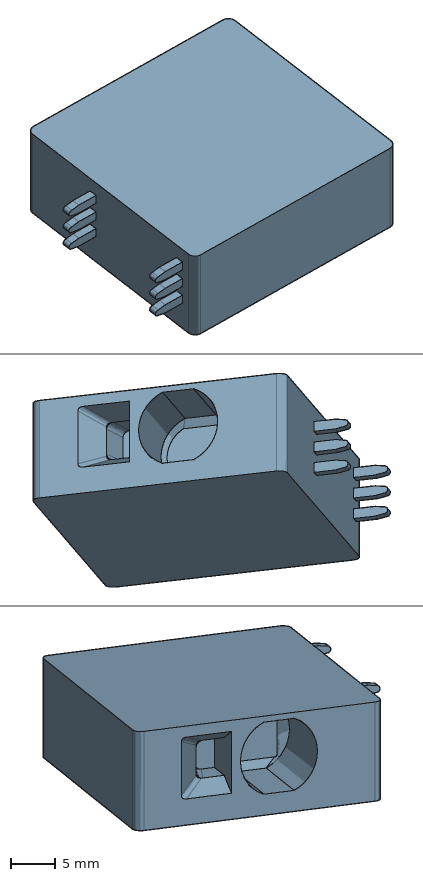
import cadquery as cq
import math

BLOCK_X = 29.0
OVERALL_Y = 34.03
BLOCK_Y = 30.0
BLOCK_Z = 11.8
CORNER_RADIUS = 1.0
LEFT_FACE = -BLOCK_X / 2
FRONT_FACE = -BLOCK_Y / 2

OPENING_Z = 6.8

PIN_LENGTH = OVERALL_Y - BLOCK_Y
PIN_WIDTH = 1.02
PIN_HEIGHT = 1.2
PIN_STRAIGHT = 2.55
PIN_TAPER_END = 3.6
PIN_TIP_HEIGHT = 0.8
PIN_ROOT = 0.35
PIN_COLUMN_PITCH = 15.0
PIN_ROW_PITCH = 2.5
PIN_MIDDLE_Z = 6.87
PIN_EDGE_DISTANCE = 2.52

SOCKET_Y = FRONT_FACE + 12.63
SOCKET_RADIUS = 4.65
SOCKET_HALF_HEIGHT = 4.3
RIM_SPLIT_ANGLE = 43.0
BORE_DEPTH = 8.5
STEP_DEPTH = 0.5
FLOOR_ARC_RADIUS = 3.75
FLOOR_ARC_OFFSET = 0.37
FLOOR_HALF_HEIGHT = 3.25
FLOOR_SIDE_OFFSET = 3.35
FLOOR_CORNER_RADIUS = 0.27

WINDOW_Y = FRONT_FACE + 18.38
WINDOW_WIDTH = 6.1
WINDOW_HEIGHT = 7.35
FUNNEL_DEPTH = 2.25
WELL_WIDTH = 3.4
WELL_HEIGHT = 4.5
WELL_FLOOR_WIDTH = 2.38
WELL_DEPTH = 3.0
FUNNEL_FILLET = 0.68
WELL_FILLET = 0.75


def make_block():
    block = cq.Workplane("XY").box(BLOCK_X, BLOCK_Y, BLOCK_Z, centered=(True, True, False))
    return block.edges("|Z").fillet(CORNER_RADIUS)


def make_pin(x, z):
    """Flat pin pointing to -Y, tapering in height to a rounded tip."""
    half = PIN_HEIGHT / 2
    half_tip = PIN_TIP_HEIGHT / 2
    profile = (
        cq.Workplane("YZ", origin=(x - PIN_WIDTH / 2, FRONT_FACE, z))
        .moveTo(PIN_ROOT, half)
        .lineTo(-PIN_STRAIGHT, half)
        .lineTo(-PIN_TAPER_END, half_tip)
        .threePointArc((-PIN_LENGTH, 0), (-PIN_TAPER_END, -half_tip))
        .lineTo(-PIN_STRAIGHT, -half)
        .lineTo(PIN_ROOT, -half)
        .close()
    )
    return profile.extrude(PIN_WIDTH)


def rim_point(angle):
    """Point of the socket's rim circle, at an angle in degrees from -Y towards +Z."""
    turn = math.radians(angle)
    return (-SOCKET_RADIUS * math.cos(turn), SOCKET_RADIUS * math.sin(turn))


def socket_sketch(depth):
    """Sketch plane at a depth below the left face, with its origin on the socket's axis."""
    return cq.Workplane("YZ", origin=(LEFT_FACE + depth, SOCKET_Y, OPENING_Z))


def socket_rim(depth):
    """Circle with a flat at the top and the bottom, split to pair with the floor outline."""
    top = SOCKET_HALF_HEIGHT
    flat_end = math.sqrt(SOCKET_RADIUS**2 - top**2)
    flat_angle = math.degrees(math.asin(top / SOCKET_RADIUS))
    corner_y, corner_z = rim_point(RIM_SPLIT_ANGLE)
    bend_y, bend_z = rim_point((flat_angle + RIM_SPLIT_ANGLE) / 2)
    return (
        socket_sketch(depth)
        .moveTo(0, top)
        .lineTo(flat_end, top)
        .threePointArc((SOCKET_RADIUS, 0), (flat_end, -top))
        .lineTo(0, -top)
        .lineTo(-flat_end, -top)
        .threePointArc((bend_y, -bend_z), (corner_y, -corner_z))
        .threePointArc((-SOCKET_RADIUS, 0), (corner_y, corner_z))
        .threePointArc((bend_y, bend_z), (-flat_end, top))
        .close()
    )


def socket_floor(depth):
    """Outline with three straight sides, two rounded corners and an arc on the +Y side."""
    top = FLOOR_HALF_HEIGHT
    side = -FLOOR_SIDE_OFFSET
    radius = FLOOR_CORNER_RADIUS
    arc_end = FLOOR_ARC_OFFSET + math.sqrt(FLOOR_ARC_RADIUS**2 - top**2)
    return (
        socket_sketch(depth)
        .moveTo(0, top)
        .lineTo(arc_end, top)
        .threePointArc((FLOOR_ARC_OFFSET + FLOOR_ARC_RADIUS, 0), (arc_end, -top))
        .lineTo(0, -top)
        .lineTo(side + radius, -top)
        .radiusArc((side, radius - top), radius)
        .lineTo(side, top - radius)
        .radiusArc((side + radius, top), radius)
        .close()
    )


def make_socket():
    """Straight bore that closes in to the smaller floor over a short step."""
    bore = socket_rim(0).extrude(BORE_DEPTH)
    step_outlines = [
        socket_rim(BORE_DEPTH).val(),
        socket_floor(BORE_DEPTH + STEP_DEPTH).val(),
    ]
    return bore.union(cq.Workplane(cq.Solid.makeLoft(step_outlines, True)))


def make_tapered_pocket(start, depth, mouth, inner, fillet):
    """Pocket along +X with a straight -Y wall and rounded +Y corners.

    The mouth and inner ends are rectangles given as (width, height).
    """
    pocket = (
        cq.Workplane("YZ", origin=(LEFT_FACE + start, WINDOW_Y, OPENING_Z))
        .center(mouth[0] / 2, 0)
        .rect(*mouth)
        .workplane(offset=depth)
        .center((inner[0] - mouth[0]) / 2, 0)
        .rect(*inner)
        .loft(ruled=True)
    )
    return pocket.edges("not #X").edges(">Y").fillet(fillet)


def make_window():
    mouth = (WINDOW_WIDTH, WINDOW_HEIGHT)
    well_top = (WELL_WIDTH, WELL_HEIGHT)
    well_floor = (WELL_FLOOR_WIDTH, WELL_HEIGHT)
    funnel = make_tapered_pocket(0, FUNNEL_DEPTH, mouth, well_top, FUNNEL_FILLET)
    well = make_tapered_pocket(FUNNEL_DEPTH, WELL_DEPTH, well_top, well_floor, WELL_FILLET)
    return funnel.union(well)


result = make_block()
for column in range(2):
    pin_x = BLOCK_X / 2 - PIN_EDGE_DISTANCE - column * PIN_COLUMN_PITCH
    for row in (-1, 0, 1):
        result = result.union(make_pin(pin_x, PIN_MIDDLE_Z + row * PIN_ROW_PITCH))
result = result.cut(make_socket()).cut(make_window())